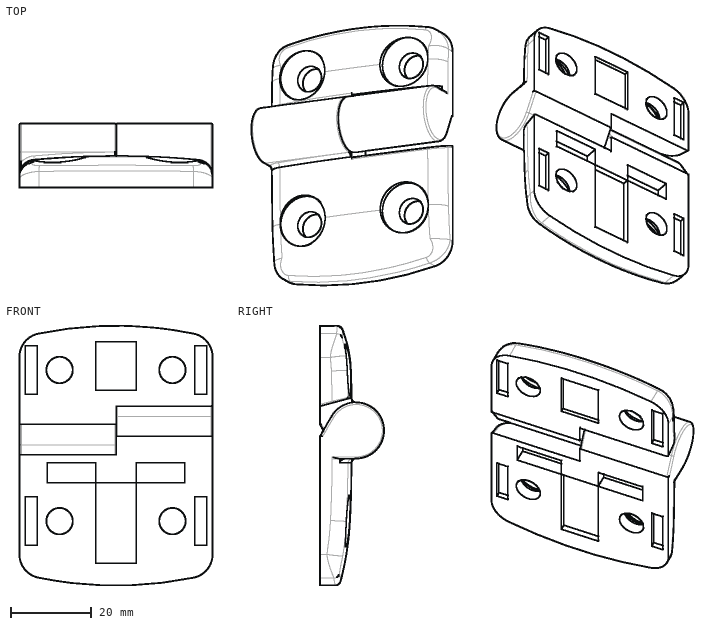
import cadquery as cq
import math


width = 48.0
half_width = width / 2
crown = 7.9
cross_radius = 220.0
end_radius = 96.0
corner_radius = 6.0
side_blend = 4.0
end_blend = 1.5
bend_start = 7.0
upper_tip = 26.0
upper_near_radius = 200.0
upper_far_radius = 31.0
lower_tip = 38.5
lower_near_radius = 310.0
lower_far_radius = 72.0

barrel_radius = 7.0
flank_angle = math.radians(60)
flank_foot = 1.5
axis_y = (barrel_radius + flank_foot * math.cos(flank_angle)) / math.sin(flank_angle)
outer_end_round = 0.5
inner_end_round = 0.35
root_fillet = 1.0

relief_foot = 6.0
relief_slope = math.tan(math.radians(15))
relief_round = 0.5

hole_diameter = 6.5
hole_spacing = 28.0
hole_land = 3.0
head_diameter = 12.8
head_cone_height = (head_diameter - hole_diameter) / 2
upper_hole_reach = 15.0
lower_hole_reach = 22.5

slot_width = 3.0
slot_length = 12.0
slot_spacing = 42.0
slot_depth = 1.3
pocket_width = 10.0
upper_pocket_reach = (10.0, 22.0)
upper_pocket_depth = 1.0
stem_reach = (13.0, 33.0)
stem_depth = 1.5
arm_reach = (8.0, 13.0)
arm_length = 12.0
arm_depth = 3.3

clear = 20.0
tolerance = 0.01


def block(x_range, y_range, z_range):
    """Box spanning the given (low, high) ranges."""
    sizes = [high - low for low, high in (x_range, y_range, z_range)]
    return cq.Workplane("XY").box(*sizes, centered=False).translate((x_range[0], y_range[0], z_range[0]))


def arc_point(center_y, center_z, radius, angle):
    return center_y + radius * math.cos(angle), center_z + radius * math.sin(angle)


def outline(tip):
    """Plate outline: straight sides, round corners and a gently arched free end."""
    arch_center_z = tip - end_radius
    corner_x = half_width - corner_radius
    join_angle = math.asin(corner_x / (end_radius - corner_radius))
    corner_z = arch_center_z + (end_radius - corner_radius) * math.cos(join_angle)
    join_x = end_radius * math.sin(join_angle)
    join_z = arch_center_z + end_radius * math.cos(join_angle)
    mid_angle = (math.pi / 2 + join_angle) / 2
    mid_x = corner_x + corner_radius * math.sin(mid_angle)
    mid_z = corner_z + corner_radius * math.cos(mid_angle)
    return (
        cq.Workplane("XZ")
        .moveTo(-half_width, flank_foot)
        .lineTo(-half_width, corner_z)
        .threePointArc((-mid_x, mid_z), (-join_x, join_z))
        .threePointArc((0, tip), (join_x, join_z))
        .threePointArc((mid_x, mid_z), (half_width, corner_z))
        .lineTo(half_width, flank_foot)
        .close()
    )


def outer_envelope(tip, hole_reach, near_radius, far_radius):
    """Solid of revolution under the outer surface, curved both along and across the leaf."""
    spine_y = crown - cross_radius
    top = tip + 1
    near_angle = math.asin((hole_reach - bend_start) / near_radius)
    near_center_y = crown - near_radius
    far_center_y = near_center_y + (near_radius - far_radius) * math.cos(near_angle)
    far_center_z = bend_start + (near_radius - far_radius) * math.sin(near_angle)
    far_angle = math.asin((top - far_center_z) / far_radius)

    def near_point(angle):
        return arc_point(near_center_y, bend_start, near_radius, angle)

    def far_point(angle):
        return arc_point(far_center_y, far_center_z, far_radius, angle)

    return (
        cq.Workplane("YZ")
        .moveTo(spine_y, 0)
        .lineTo(crown, 0)
        .lineTo(crown, bend_start)
        .threePointArc(near_point(near_angle / 2), near_point(near_angle))
        .threePointArc(far_point((near_angle + far_angle) / 2), far_point(far_angle))
        .lineTo(spine_y, top)
        .close()
        .revolve(360, (spine_y, 0, 0), (spine_y, 1, 0))
    )


def is_side_rim(edge):
    """True for an edge of the outer rim that runs along a side face."""
    box = edge.BoundingBox()
    return box.ymin > tolerance and box.xlen < tolerance


def round_rim(body):
    """Round the outer rim: side_blend along the sides, fading to end_blend round the corners."""
    first_edge = next(edge for edge in body.edges().vals() if is_side_rim(edge))
    fillet = cq.occ_impl.shapes.BRepFilletAPI_MakeFillet(body.solids().val().wrapped)
    rim = 1
    fillet.Add(first_edge.wrapped)
    for number in range(1, fillet.NbEdges(rim) + 1):
        edge = cq.Edge(fillet.Edge(rim, number))
        if is_side_rim(edge):
            fillet.SetRadius(side_blend, rim, number)
        elif abs(edge.Center().x) < tolerance:
            fillet.SetRadius(end_blend, rim, number)
    return cq.Workplane(cq.Shape.cast(fillet.Shape()))


def relief():
    """Cutter for the space beside the barrel, bounded above by the sloping face."""
    return (
        cq.Workplane("YZ")
        .moveTo(0, 0)
        .lineTo(0, relief_foot)
        .lineTo(clear, relief_foot + clear * relief_slope)
        .lineTo(clear, 0)
        .close()
        .extrude(half_width)
    )


def plate(tip, hole_reach, near_radius, far_radius):
    """Leaf plate with its rounded rim, and the side edge of the sloping face rounded."""
    envelope = outer_envelope(tip, hole_reach, near_radius, far_radius)
    body = round_rim(outline(tip).extrude(-clear).intersect(envelope)).cut(relief())
    side_end_y = crown / 8
    side_end = (half_width, side_end_y, relief_foot + side_end_y * relief_slope)
    return body.edges(cq.selectors.NearestToPointSelector(side_end)).fillet(relief_round)


def barrel():
    """Barrel with its flat web, rounded at both ends except along the mounting face."""
    flank_top_y = axis_y - barrel_radius * math.sin(flank_angle)
    flank_top_z = -barrel_radius * math.cos(flank_angle)
    body = (
        cq.Workplane("YZ")
        .moveTo(0, flank_foot)
        .lineTo(flank_top_y, flank_top_z)
        .threePointArc((axis_y + barrel_radius, 0), (axis_y, barrel_radius))
        .lineTo(0, barrel_radius)
        .close()
        .extrude(-half_width)
    )
    body = body.faces("<X").edges("not(<Y)").fillet(outer_end_round)
    return body.faces(">X").edges("not(<Y)").fillet(inner_end_round)


def root_cove():
    """Concave fillet along the line where the barrel web meets the outer surface."""
    spine_y = crown - cross_radius
    blend_x = half_width - side_blend
    spine_gap = cross_radius - side_blend
    blend_y = spine_y + math.sqrt(spine_gap**2 - blend_x**2)
    join_angle = math.asin(blend_x / spine_gap)
    join = (-cross_radius * math.sin(join_angle), spine_y + cross_radius * math.cos(join_angle))
    half_angle = join_angle / 2
    arch_mid = (-cross_radius * math.sin(half_angle), spine_y + cross_radius * math.cos(half_angle))
    mid_angle = (math.pi / 2 + join_angle) / 2
    blend_mid = (-blend_x - side_blend * math.sin(mid_angle), blend_y + side_blend * math.cos(mid_angle))
    path = (
        cq.Workplane("XY", origin=(0, 0, barrel_radius))
        .moveTo(0, crown)
        .threePointArc(arch_mid, join)
        .threePointArc(blend_mid, (-half_width, blend_y))
    )
    web_z = barrel_radius
    sag = root_fillet * (1 - math.cos(math.pi / 4))
    cove = (
        cq.Workplane("YZ")
        .moveTo(crown - root_fillet, web_z)
        .lineTo(crown + root_fillet, web_z)
        .threePointArc((crown + sag, web_z + sag), (crown, web_z + root_fillet))
        .lineTo(crown - root_fillet, web_z + root_fillet)
        .close()
        .sweep(path)
    )
    between_ends = block((outer_end_round - half_width, -inner_end_round), (0, clear), (0, clear))
    return cove.intersect(between_ends)


def screw_hole(x, reach):
    """Cutter for a countersunk hole entered from the outer surface."""
    head_y = hole_land + head_cone_height
    return (
        cq.Workplane("XY")
        .lineTo(hole_diameter / 2, 0)
        .lineTo(hole_diameter / 2, hole_land)
        .lineTo(head_diameter / 2, head_y)
        .lineTo(head_diameter / 2, clear)
        .lineTo(0, clear)
        .close()
        .revolve(360, (0, 0, 0), (0, 1, 0))
        .translate((x, 0, reach))
    )


def pocket(x, pocket_size, reach, depth):
    """Rectangular pocket in the mounting face, centred on x and spanning the two reaches."""
    return block((x - pocket_size / 2, x + pocket_size / 2), (0, depth), reach)


def leaf_body(tip, hole_reach, near_radius, far_radius):
    """The features that both leaves share."""
    body = plate(tip, hole_reach, near_radius, far_radius).union(barrel()).union(root_cove())
    for x in (-hole_spacing / 2, hole_spacing / 2):
        body = body.cut(screw_hole(x, hole_reach))
    for x in (-slot_spacing / 2, slot_spacing / 2):
        reach = (hole_reach - slot_length / 2, hole_reach + slot_length / 2)
        body = body.cut(pocket(x, slot_width, reach, slot_depth))
    return body


def upper_leaf():
    body = leaf_body(upper_tip, upper_hole_reach, upper_near_radius, upper_far_radius)
    return body.cut(pocket(0, pocket_width, upper_pocket_reach, upper_pocket_depth))


def lower_leaf():
    body = leaf_body(lower_tip, lower_hole_reach, lower_near_radius, lower_far_radius)
    body = body.cut(pocket(0, pocket_width, stem_reach, stem_depth))
    arm_x = (pocket_width + arm_length) / 2
    for x in (-arm_x, arm_x):
        body = body.cut(pocket(x, arm_length, arm_reach, arm_depth))
    return body.rotate((0, 0, 0), (0, 1, 0), 180)


upper = upper_leaf()
lower = lower_leaf()
result = cq.Compound.makeCompound([upper.val(), lower.val()])